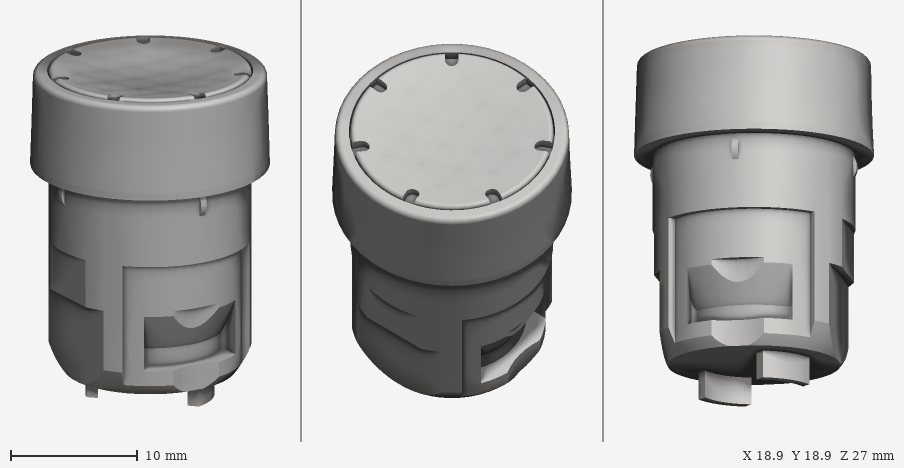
import cadquery as cq
import math

base_z = 2.17
base_edge_z = 4.26
step_z = 9.19
shoulder_z = 13.1
bezel_bottom_z = 19.1
bezel_band_top_z = 19.67
bezel_top_z = 26.8
cap_top_z = 27.0

barrel_radius = 8.0
bezel_radius = 9.45
bezel_upper_radius = 9.24
bezel_edge_radius = 0.45
base_radius = 6.82
base_edge_mid = (7.43, 3.08)

recess_radius = 7.4
recess_half_angle = 47.0

upper_flat_half_width = 2.67
lower_flat_half_width = 4.21

groove_half_width = 2.1
groove_radius = 6.2

window_half_width = 4.21
window_bottom_z = base_edge_z
window_top_z = 8.77
window_core_radius = 5.9
window_core_top_z = 5.68
window_flare_mid = (6.7, 7.29)
window_corner_radius = 0.33

nub_count = 4
nub_width = 0.52
nub_z = 17.86
nub_radius = 1.42
nub_reach = 8.28

terminal_inner_radius = 4.27
terminal_outer_radius = 5.1
terminal_width = 4.4
terminal_angle = 44.0

cap_radius = 8.0
cap_edge_radius = 0.32
seat_radius = 8.13
seat_z = 25.0
dish_radius = 40.0
slot_count = 7
slot_start_angle = -1.0
slot_width = 1.06
slot_inner_end = 6.68
slot_floor_z = 26.15

axis_start = (0, 0, 0)
axis_end = (0, 1, 0)
SIDES = (0, 180)


def on_axis(shape, angle):
    """Turn a shape about the Z axis."""
    return shape.rotate((0, 0, 0), (0, 0, 1), angle)


def cylinder(radius, bottom, top):
    return cq.Workplane("XY").workplane(offset=bottom).circle(radius).extrude(top - bottom)


def block(x_min, x_max, half_width, bottom, top):
    """Box centred on Y = 0."""
    size = (x_max - x_min, 2 * half_width, top - bottom)
    return cq.Workplane("XY").box(*size, centered=(False, True, False)).translate((x_min, 0, bottom))


def housing_body():
    """Barrel, rounded lower edge, tapered bezel and cap seat as one turned shape."""
    arc_share = bezel_edge_radius * (1 - math.sqrt(0.5))
    edge_mid = (bezel_upper_radius - arc_share, bezel_top_z - arc_share)
    return (
        cq.Workplane("XZ")
        .moveTo(0, base_z)
        .lineTo(base_radius, base_z)
        .threePointArc(base_edge_mid, (barrel_radius, base_edge_z))
        .lineTo(barrel_radius, bezel_bottom_z)
        .lineTo(bezel_radius, bezel_bottom_z)
        .lineTo(bezel_radius, bezel_band_top_z)
        .lineTo(bezel_upper_radius, bezel_top_z - bezel_edge_radius)
        .threePointArc(edge_mid, (bezel_upper_radius - bezel_edge_radius, bezel_top_z))
        .lineTo(seat_radius, bezel_top_z)
        .lineTo(seat_radius, seat_z)
        .lineTo(0, seat_z)
        .close()
        .revolve(360, axis_start, axis_end)
    )


def side_recess():
    """Sector outside the recess radius, with radial end walls, on the +X side."""
    far = 2 * barrel_radius
    end_x = far * math.cos(math.radians(recess_half_angle))
    end_y = far * math.sin(math.radians(recess_half_angle))
    wedge = (
        cq.Workplane("XY")
        .workplane(offset=base_z)
        .polyline([(0, 0), (end_x, -end_y), (far, 0), (end_x, end_y)])
        .close()
        .extrude(shoulder_z - base_z)
    )
    return wedge.cut(cylinder(recess_radius, base_z, shoulder_z))


def side_groove():
    """Concave groove running down the +X side recess."""
    edge_x = math.sqrt(recess_radius**2 - groove_half_width**2)
    centre_x = edge_x + math.sqrt(groove_radius**2 - groove_half_width**2)
    return cylinder(groove_radius, base_z, step_z).translate((centre_x, 0, 0))


def window():
    """Window in the +X side recess, open around a core that flares out at the top."""
    corner_x = math.sqrt(window_core_radius**2 - window_half_width**2)
    opening = block(0, barrel_radius, window_half_width, window_bottom_z, window_top_z)
    opening = opening.cut(cylinder(window_core_radius, window_bottom_z, window_top_z))
    middle_z = (window_bottom_z + window_top_z) / 2
    for corner_y in (-window_half_width, window_half_width):
        corner = cq.selectors.NearestToPointSelector((corner_x, corner_y, middle_z))
        opening = opening.edges("|Z").edges(corner).fillet(window_corner_radius)
    flare = (
        cq.Workplane("XZ")
        .moveTo(0, window_core_top_z)
        .lineTo(window_core_radius, window_core_top_z)
        .threePointArc(window_flare_mid, (recess_radius, window_top_z))
        .lineTo(0, window_top_z)
        .close()
        .revolve(360, axis_start, axis_end)
    )
    return opening.cut(flare)


def stepped_flats():
    """Two stepped flats, modelled on the +X side."""
    cuts = cq.Workplane("XY")
    far = 2 * barrel_radius
    for half_width, bottom, top in (
        (upper_flat_half_width, step_z, shoulder_z),
        (lower_flat_half_width, base_z, step_z),
    ):
        flat_distance = math.sqrt(barrel_radius**2 - half_width**2)
        cuts = cuts.add(block(flat_distance, far, barrel_radius, bottom, top))
    return cuts.combine()


def nub():
    """Small rounded nub on the +X side of the barrel."""
    disc = cq.Workplane("XZ").circle(nub_radius).extrude(nub_width / 2, both=True)
    return disc.translate((nub_reach - nub_radius, 0, nub_z))


def terminal():
    """Curved blade under the housing, pointing along +X."""
    ring = cylinder(terminal_outer_radius, 0, base_z).cut(cylinder(terminal_inner_radius, 0, base_z))
    return ring.intersect(block(0, bezel_radius, terminal_width / 2, 0, base_z))


housing = housing_body()
for side in SIDES:
    for cutter in (side_recess(), side_groove(), window()):
        housing = housing.cut(on_axis(cutter, side))
    housing = housing.cut(on_axis(stepped_flats(), side + 90))
    housing = housing.union(on_axis(terminal(), side + terminal_angle))
for index in range(nub_count):
    housing = housing.union(on_axis(nub(), index * 360 / nub_count))


def cap_slot():
    """Round-ended slot in the rim of the cap, on the +X side."""
    end_radius = slot_width / 2
    end_centre = slot_inner_end + end_radius
    straight = block(end_centre, bezel_radius, end_radius, slot_floor_z, cap_top_z)
    rounded_end = cylinder(end_radius, slot_floor_z, cap_top_z).translate((end_centre, 0, 0))
    return straight.union(rounded_end)


def cap_body():
    """Disc with a spherical dish, its rim rounded from the wall into the dish."""
    rim_centre_radius = cap_radius - cap_edge_radius
    rim_centre_z = cap_top_z - cap_edge_radius
    dish_centre_z = rim_centre_z + math.sqrt((dish_radius + cap_edge_radius) ** 2 - rim_centre_radius**2)
    dish = cq.Workplane("YZ").sphere(dish_radius).translate((0, 0, dish_centre_z))
    sharp_rim_z = dish_centre_z - math.sqrt(dish_radius**2 - cap_radius**2)
    disc = cylinder(cap_radius, seat_z, sharp_rim_z + cap_edge_radius).cut(dish)
    return disc.edges("%CIRCLE").edges(">Z").fillet(cap_edge_radius)


cap = cap_body()
for index in range(slot_count):
    cap = cap.cut(on_axis(cap_slot(), slot_start_angle + index * 360 / slot_count))


result = cq.Compound.makeCompound([housing.val(), cap.val()])